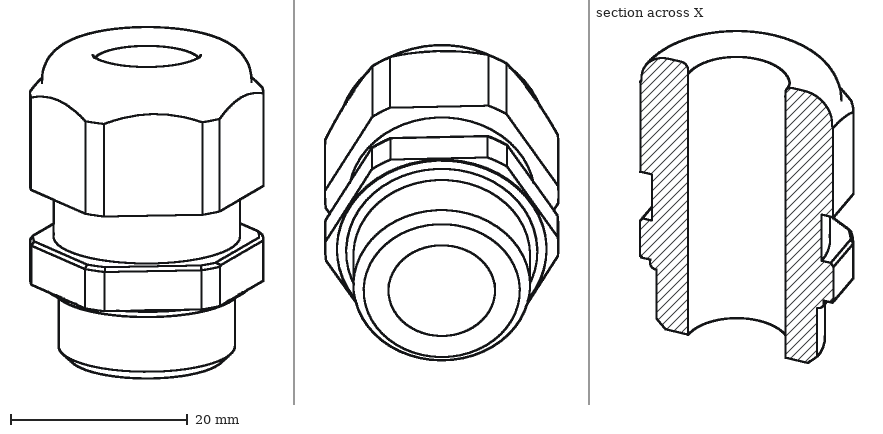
import cadquery as cq
import math

body_across_flats = 24.0
nut_across_flats = 23.95
body_corner_diameter = 26.4
nut_corner_diameter = 26.43
total_height = 36.2

stub_radius = 20.0 / 2
stub_chamfer = 1.15
seal_bottom = 7.65
seal_section_radius = 0.85

washer_radius = 23.7 / 2
washer_bottom = 8.8
body_hex_bottom = 9.0
body_hex_top = 14.1
body_hex_chamfer_height = 0.47
body_hex_chamfer_inset = 0.33

neck_radius = 21.1 / 2

nut_bottom = 20.2
nut_shoulder = 31.15
nut_cone_angle = 41.0
dome_radius = washer_radius
dome_round = 3.48
dome_root_round = 0.35

throat_radius = 12.0 / 2
bore_radius = 12.05 / 2
mouth_round = 0.95
throat_height = 0.45


def cylinder(radius, bottom, top):
    return cq.Workplane("XY").workplane(offset=bottom).circle(radius).extrude(top - bottom)


def hexagon(across_flats, bottom, top):
    """Hexagonal prism with flats facing +Y and -Y, before its corners are trimmed."""
    point_diameter = across_flats / math.cos(math.radians(30))
    return cq.Workplane("XY").workplane(offset=bottom).polygon(6, point_diameter).extrude(top - bottom)


def make_stub():
    """Stub with a chamfered end and a round-section sealing ring at its root."""
    stub = cylinder(stub_radius, 0, washer_bottom).faces("<Z").chamfer(stub_chamfer)
    seal_center = seal_bottom + seal_section_radius
    cut_height = washer_bottom - seal_center
    cut_radius = stub_radius + math.sqrt(seal_section_radius**2 - cut_height**2)
    seal = (
        cq.Workplane("XZ")
        .moveTo(0, seal_bottom)
        .lineTo(stub_radius, seal_bottom)
        .threePointArc((stub_radius + seal_section_radius, seal_center), (cut_radius, washer_bottom))
        .lineTo(0, washer_bottom)
        .close()
        .revolve(360, (0, 0), (0, 1))
    )
    return stub.union(seal)


def make_body_hex():
    """Hexagon with turned corners, a chamfered top rim and a thin washer face below."""
    corners = cylinder(body_corner_diameter / 2, body_hex_bottom, body_hex_top)
    body_hex = hexagon(body_across_flats, body_hex_bottom, body_hex_top).intersect(corners)
    body_hex = body_hex.faces(">Z").chamfer(body_hex_chamfer_inset, body_hex_chamfer_height)
    washer = cylinder(washer_radius, washer_bottom, body_hex_bottom)
    return body_hex.union(washer)


def make_nut():
    """Turned profile of the nut cut down by a hexagon; the dome stands inside the flats."""
    cone = math.radians(nut_cone_angle)
    corner_radius = nut_corner_diameter / 2
    root_turn = math.pi / 2 - cone
    root_center_radius = dome_radius + dome_root_round
    root_outer_radius = root_center_radius - dome_root_round * math.cos(root_turn)
    root_bottom = nut_shoulder + (corner_radius - root_outer_radius) * math.tan(cone)
    root_top = root_bottom + dome_root_round * math.sin(root_turn)
    root_middle = (
        root_center_radius - dome_root_round * math.cos(root_turn / 2),
        root_top - dome_root_round * math.sin(root_turn / 2),
    )
    dome_start = total_height - dome_round
    dome_flat_radius = dome_radius - dome_round
    dome_middle = (
        dome_flat_radius + dome_round * math.sqrt(0.5),
        dome_start + dome_round * math.sqrt(0.5),
    )
    turned = (
        cq.Workplane("XZ")
        .moveTo(0, nut_bottom)
        .lineTo(corner_radius, nut_bottom)
        .lineTo(corner_radius, nut_shoulder)
        .lineTo(root_outer_radius, root_bottom)
        .threePointArc(root_middle, (dome_radius, root_top))
        .lineTo(dome_radius, dome_start)
        .threePointArc(dome_middle, (dome_flat_radius, total_height))
        .lineTo(0, total_height)
        .close()
        .revolve(360, (0, 0), (0, 1))
    )
    return turned.intersect(hexagon(nut_across_flats, nut_bottom, total_height))


def make_bore():
    """Solid of the through hole: bore, throat and rounded mouth."""
    mouth_radius = throat_radius + mouth_round
    mouth_bottom = total_height - mouth_round
    throat_bottom = mouth_bottom - throat_height
    mouth_middle = (
        mouth_radius - mouth_round * math.sqrt(0.5),
        mouth_bottom + mouth_round * math.sqrt(0.5),
    )
    return (
        cq.Workplane("XZ")
        .lineTo(bore_radius, 0)
        .lineTo(bore_radius, throat_bottom)
        .lineTo(throat_radius, throat_bottom)
        .lineTo(throat_radius, mouth_bottom)
        .threePointArc(mouth_middle, (mouth_radius, total_height))
        .lineTo(0, total_height)
        .close()
        .revolve(360, (0, 0), (0, 1))
    )


neck = cylinder(neck_radius, body_hex_top, nut_bottom)
result = make_stub().union(make_body_hex()).union(neck).union(make_nut()).cut(make_bore())